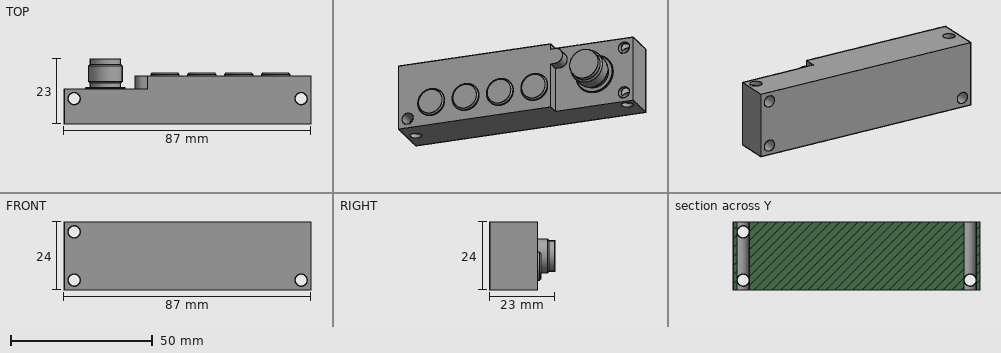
import cadquery as cq

LENGTH = 87.0
HEIGHT = 24.0
DEPTH = 17.0
LOW_DEPTH = 12.4
STEP_X = 29.4

HOLE_DIAMETER = 4.2
HOLE_EDGE_OFFSET = 3.5
CROSS_HOLE_Y = 9.0

LUG_DIAMETER = 5.65
LUG_AXIS_X = 27.75
LUG_AXIS_Z = 19.15

CONNECTOR_X = 14.5
CONNECTOR_Z = HEIGHT / 2
CONNECTOR_END_Y = 23.0
FLANGE_DIAMETER = 14.0
FLANGE_THICKNESS = 0.55
FLANGE_CHAMFER = 0.25
NECK_DIAMETER = 10.77
COLLAR_DIAMETER = 12.0
COLLAR_START_Y = 14.5
COLLAR_END_Y = 21.0
COLLAR_BEVEL_LENGTH = 0.6

SOCKET_COUNT = 4
SOCKET_PITCH = 13.0
FIRST_SOCKET_X = 35.5
SOCKET_Z = 8.4
SOCKET_DIAMETER = 10.0
SOCKET_HEIGHT = 1.1
SOCKET_CHAMFER = 0.55


def cylinder_along_y(x, z, start_y, diameter, length):
    """Solid cylinder on an axis parallel to Y, growing towards +Y."""
    base = cq.Vector(x, start_y, z)
    return cq.Workplane(cq.Solid.makeCylinder(diameter / 2, length, base, cq.Vector(0, 1, 0)))


def make_housing():
    """Stepped L-shaped outline in XY, extruded over the full height."""
    outline = [
        (0, 0),
        (LENGTH, 0),
        (LENGTH, DEPTH),
        (STEP_X, DEPTH),
        (STEP_X, LOW_DEPTH),
        (0, LOW_DEPTH),
    ]
    return cq.Workplane("XY").polyline(outline).close().extrude(HEIGHT)


def make_lug():
    """Half-round nose joined to the step by a straight stretch of the same width."""
    lug_depth = DEPTH - LOW_DEPTH
    nose = cylinder_along_y(LUG_AXIS_X, LUG_AXIS_Z, LOW_DEPTH, LUG_DIAMETER, lug_depth)
    bridge = cq.Workplane("XY").box(
        STEP_X - LUG_AXIS_X, lug_depth, LUG_DIAMETER, centered=(False, False, True)
    )
    return nose.union(bridge.translate((LUG_AXIS_X, LOW_DEPTH, LUG_AXIS_Z)))


def make_connector():
    """Flange, neck and bevelled collar, revolved about an axis parallel to Y."""
    flange_radius = FLANGE_DIAMETER / 2
    neck_radius = NECK_DIAMETER / 2
    collar_radius = COLLAR_DIAMETER / 2
    flange_top_y = LOW_DEPTH + FLANGE_THICKNESS
    half_profile = [
        (0, LOW_DEPTH),
        (flange_radius, LOW_DEPTH),
        (flange_radius, flange_top_y - FLANGE_CHAMFER),
        (flange_radius - FLANGE_CHAMFER, flange_top_y),
        (neck_radius, flange_top_y),
        (neck_radius, COLLAR_START_Y),
        (collar_radius, COLLAR_START_Y + COLLAR_BEVEL_LENGTH),
        (collar_radius, COLLAR_END_Y - COLLAR_BEVEL_LENGTH),
        (neck_radius, COLLAR_END_Y),
        (neck_radius, CONNECTOR_END_Y),
        (0, CONNECTOR_END_Y),
    ]
    turned = cq.Workplane("XY").polyline(half_profile).close().revolve(360, (0, 0, 0), (0, 1, 0))
    return turned.translate((CONNECTOR_X, 0, CONNECTOR_Z))


def make_socket(index):
    """Low round rim with a chamfered outer edge."""
    x = FIRST_SOCKET_X + index * SOCKET_PITCH
    rim = cylinder_along_y(x, SOCKET_Z, DEPTH, SOCKET_DIAMETER, SOCKET_HEIGHT)
    return rim.faces(">Y").chamfer(SOCKET_CHAMFER)


def drill_mounting_holes(body):
    """Three through holes along Y and two along Z, near the corners."""
    left_x = HOLE_EDGE_OFFSET
    right_x = LENGTH - HOLE_EDGE_OFFSET
    low_z = HOLE_EDGE_OFFSET
    high_z = HEIGHT - HOLE_EDGE_OFFSET
    for x, z in [(left_x, low_z), (left_x, high_z), (right_x, low_z)]:
        body = body.cut(cylinder_along_y(x, z, 0, HOLE_DIAMETER, DEPTH))
    cross_holes = (
        cq.Workplane("XY")
        .pushPoints([(left_x, CROSS_HOLE_Y), (right_x, CROSS_HOLE_Y)])
        .circle(HOLE_DIAMETER / 2)
        .extrude(HEIGHT)
    )
    return body.cut(cross_holes)


result = drill_mounting_holes(make_housing())
result = result.union(make_lug()).union(make_connector())
for socket_index in range(SOCKET_COUNT):
    result = result.union(make_socket(socket_index))